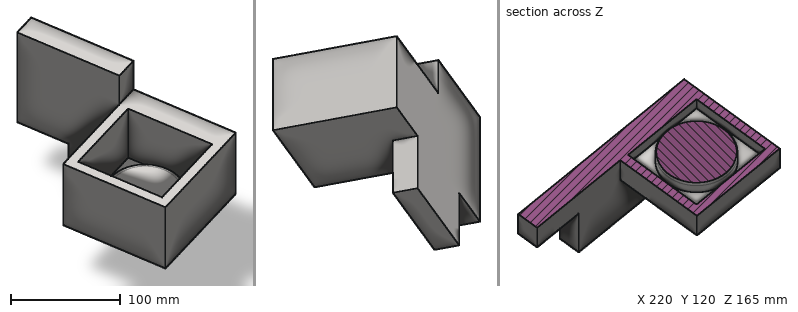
import cadquery as cq

plate_side = 110.0
plate_thickness = 24.0
lower_plate_left = plate_side / 2
lower_plate_drop = plate_side / 2

box_width = 110.0
box_depth = 120.0
box_height = 75.0
box_left = plate_side
box_bottom = lower_plate_drop

wall = 10.0
rear_wall = 24.9
pocket_width = box_width - 2 * wall
pocket_length = box_depth - rear_wall - wall
pocket_depth = 60.0

disc_diameter = 75.0
disc_height = 15.0
disc_edge_radius = 5.0

back_face = box_depth
plate_front = back_face - plate_thickness
pocket_floor = box_bottom + box_height - pocket_depth
pocket_center_x = box_left + box_width / 2
pocket_center_y = wall + pocket_length / 2


def corner_block(width, depth, height, corner):
    """Block that grows in +X, +Y and +Z from its corner."""
    return cq.Workplane("XY").box(width, depth, height, centered=False).translate(corner)


def make_housing():
    upper_plate = corner_block(
        plate_side, plate_thickness, plate_side, (0, plate_front, lower_plate_drop)
    )
    lower_plate = corner_block(
        plate_side, plate_thickness, plate_side, (lower_plate_left, plate_front, 0)
    )
    box = corner_block(box_width, box_depth, box_height, (box_left, 0, box_bottom))
    pocket = corner_block(
        pocket_width, pocket_length, pocket_depth, (box_left + wall, wall, pocket_floor)
    )
    return upper_plate.union(lower_plate).union(box).cut(pocket).clean()


def make_disc():
    disc = cq.Workplane("XY").circle(disc_diameter / 2).extrude(disc_height)
    disc = disc.faces(">Z").edges().fillet(disc_edge_radius)
    return disc.translate((pocket_center_x, pocket_center_y, pocket_floor))


housing = make_housing()
disc = make_disc()

result = cq.Compound.makeCompound([housing.solids().val(), disc.solids().val()])